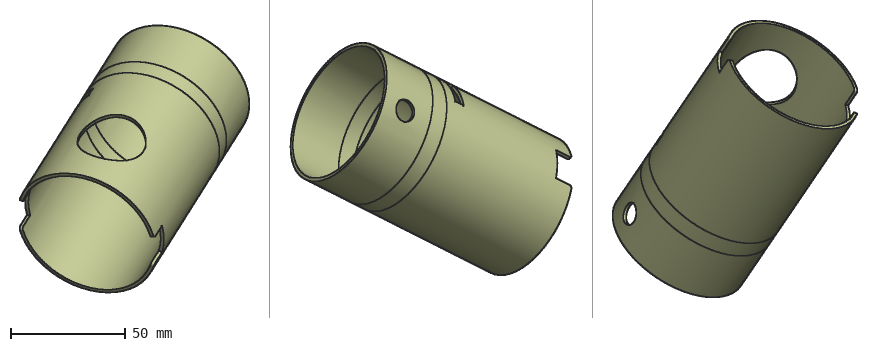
import cadquery as cq
import math

length = 106.5
outer_radius = 33.0
wall = 1.6
inner_radius = outer_radius - wall
back_y = length / 2
front_y = -length / 2

rear_length = 26.2
ring_length = 8.0
sleeve_length = length - rear_length - ring_length
ring_back_y = back_y - rear_length
sleeve_back_y = ring_back_y - ring_length

pin_hole_diameter = 10.0
pin_hole_y = back_y - 12.1
pin_hole_angle = -20.0

window_diameter = 30.0
window_y = -24.6

slot_width = 4.9
slot_back_y = sleeve_back_y - 5.3
slot_start_angle = 11.0
slot_end_angle = 41.0

notch_depth = 9.0
notch_half_angle = 13.5
notch_corner_radius = 1.5
notch_centre_angles = (0.0, 180.0)

cutter_reach = 1.5 * outer_radius


def tube(tube_back_y, tube_length):
    """Plain tube extending toward -Y from its back end."""
    return (
        cq.Workplane("XZ", origin=(0, tube_back_y, 0))
        .circle(outer_radius)
        .circle(inner_radius)
        .extrude(tube_length)
    )


def point_at(angle):
    """Point in the XZ plane beyond the wall, at an angle from -X toward +Z."""
    turn = math.radians(angle)
    return (-cutter_reach * math.cos(turn), cutter_reach * math.sin(turn))


def wedge(wedge_back_y, width, start_angle, end_angle):
    """Cutter with radial sides that meet on the tube axis."""
    return (
        cq.Workplane("XZ", origin=(0, wedge_back_y, 0))
        .polyline([(0, 0), point_at(start_angle), point_at(end_angle)])
        .close()
        .extrude(width)
    )


def make_rear_tube():
    """Back section with one radial hole through its wall."""
    hole_x, hole_z = point_at(pin_hole_angle)
    drill = cq.Solid.makeCylinder(
        pin_hole_diameter / 2,
        cutter_reach,
        cq.Vector(0, pin_hole_y, 0),
        cq.Vector(hole_x, 0, hole_z),
    )
    return tube(back_y, rear_length).cut(cq.Workplane(drill))


def make_ring():
    """Narrow plain ring between the rear tube and the sleeve."""
    return tube(ring_back_y, ring_length)


def make_sleeve():
    """Front section with rim notches, a side slot and a top window."""
    sleeve = tube(sleeve_back_y, sleeve_length)

    for centre in notch_centre_angles:
        notch = wedge(
            front_y + notch_depth, notch_depth, centre - notch_half_angle, centre + notch_half_angle
        )
        sleeve = sleeve.cut(notch)
    sleeve = sleeve.faces("<Y").edges("%LINE").fillet(notch_corner_radius)

    sleeve = sleeve.cut(wedge(slot_back_y, slot_width, slot_start_angle, slot_end_angle))

    window = (
        cq.Workplane("XY", origin=(0, window_y, 0)).circle(window_diameter / 2).extrude(cutter_reach)
    )
    return sleeve.cut(window)


rear_tube = make_rear_tube()
ring = make_ring()
sleeve = make_sleeve()

result = cq.Compound.makeCompound(
    [rear_tube.solids().val(), ring.solids().val(), sleeve.solids().val()]
)